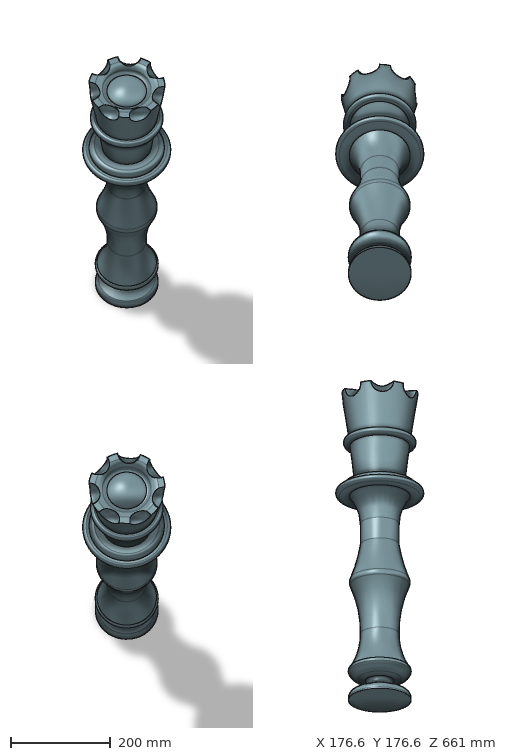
import cadquery as cq
import math

height = 661.0
collar_radius = 88.3

foot_radius = 63.0
foot_edge_height = 3.0
foot_curve_middle = (61.5, 10.0)
foot_shoulder = (57.0, 15.0)
foot_cone_top = (34.5, 25.0)
neck_middle = (26.5, 34.0)
neck_top = (29.0, 41.5)
bulb_underside = (43.0, 45.5)
bulb_curve_middle = (57.0, 51.5)
bulb_radius = 63.0
bulb_height = 61.0
bulb_shoulder = (59.5, 69.0)

waist_radius = 39.0
lower_curve_middle = (44.0, 104.0)
lower_waist_height = 142.0
upper_waist_bottom = 335.0
upper_waist_top = 380.0
ring_radius = 61.0
ring_height = 254.5
ring_half_height = 6.0
ring_edge_radius = 59.5
ring_lower_curve_middle = (45.5, 206.0)
ring_upper_curve_middle = (47.0, 297.5)
collar_curve_middle = (45.5, 415.0)
collar_underside_radius = 61.0

collar_bottom = 441.0
collar_thickness = 14.0
collar_top = collar_bottom + collar_thickness
collar_flat_radius = collar_radius - collar_thickness / 2
step_radius = 75.5
step_top = 467.5
step_rounding = 10.5

cup_bottom_radius = 50.0
cup_middle = (61.0, 559.0)
cup_top_radius = 77.0
bead_radius = 73.0
bead_thickness = 14.5
bead_height = 557.0

rim_inner_radius = 63.5
rim_slope_middle = (55.5, 658.0)
seat_outer = (49.0, 652.0)
seat_middle = (45.0, 648.0)
dome_radius = 40.0
dome_base = 647.0
notch_count = 7
notch_radius = 23.0
notch_circle_radius = 77.5
first_notch_angle = 90.0


def dome_midpoint():
    """Middle point of the circular arc from the dome's rim to its apex."""
    rise = height - dome_base
    sphere_radius = (dome_radius**2 + rise**2) / (2 * rise)
    half_angle = math.asin(dome_radius / sphere_radius) / 2
    radius = sphere_radius * math.sin(half_angle)
    return (radius, height - sphere_radius * (1 - math.cos(half_angle)))


def turned_body():
    """Revolve the half profile, given as (radius, height), about Z."""
    step_inset = step_rounding * (1 - math.sqrt(0.5))
    profile = (
        cq.Workplane("XZ")
        .lineTo(foot_radius, 0)
        .lineTo(foot_radius, foot_edge_height)
        .threePointArc(foot_curve_middle, foot_shoulder)
        .lineTo(*foot_cone_top)
        .threePointArc(neck_middle, neck_top)
        .lineTo(*bulb_underside)
        .threePointArc(bulb_curve_middle, (bulb_radius, bulb_height))
        .tangentArcPoint(bulb_shoulder, relative=False)
        .threePointArc(lower_curve_middle, (waist_radius, lower_waist_height))
        .threePointArc(ring_lower_curve_middle, (ring_edge_radius, ring_height - ring_half_height))
        .threePointArc((ring_radius, ring_height), (ring_edge_radius, ring_height + ring_half_height))
        .threePointArc(ring_upper_curve_middle, (waist_radius, upper_waist_bottom))
        .lineTo(waist_radius, upper_waist_top)
        .threePointArc(collar_curve_middle, (collar_underside_radius, collar_bottom))
        .lineTo(collar_flat_radius, collar_bottom)
        .threePointArc((collar_radius, collar_bottom + collar_thickness / 2), (collar_flat_radius, collar_top))
        .lineTo(step_radius, collar_top)
        .lineTo(step_radius, step_top - step_rounding)
        .threePointArc(
            (step_radius - step_inset, step_top - step_inset),
            (step_radius - step_rounding, step_top),
        )
        .lineTo(cup_bottom_radius, step_top)
        .threePointArc(cup_middle, (cup_top_radius, height))
        .lineTo(rim_inner_radius, height)
        .threePointArc(rim_slope_middle, seat_outer)
        .threePointArc(seat_middle, (dome_radius, dome_base))
        .threePointArc(dome_midpoint(), (0, height))
        .close()
    )
    return profile.revolve(360, (0, 0, 0), (0, 1, 0))


def cup_bead():
    """Half-round bead encircling the cup."""
    half = bead_thickness / 2
    inner_radius = cup_middle[0] - half
    return (
        cq.Workplane("XZ")
        .moveTo(inner_radius, bead_height - half)
        .lineTo(bead_radius - half, bead_height - half)
        .threePointArc((bead_radius, bead_height), (bead_radius - half, bead_height + half))
        .lineTo(inner_radius, bead_height + half)
        .close()
        .revolve(360, (0, 0, 0), (0, 1, 0))
    )


def crown_notches(body):
    """Scoop evenly spaced spherical notches out of the rim."""
    for index in range(notch_count):
        angle = math.radians(first_notch_angle + index * 360 / notch_count)
        x = notch_circle_radius * math.cos(angle)
        y = notch_circle_radius * math.sin(angle)
        scoop = cq.Workplane("XY").sphere(notch_radius).translate((x, y, height))
        body = body.cut(scoop)
    return body


result = crown_notches(turned_body().union(cup_bead()))